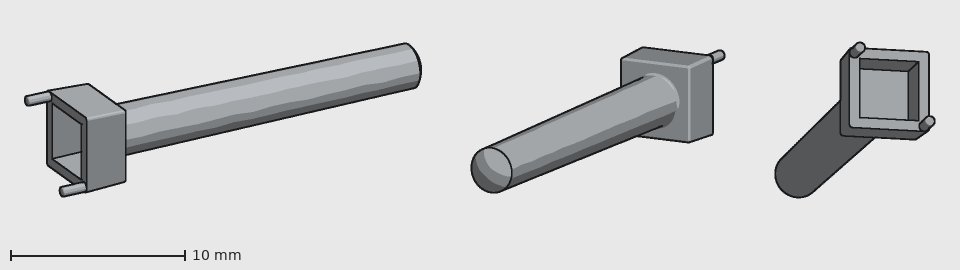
import cadquery as cq
import math

total_length = 24.5
pin_length = 1.5
socket_depth = 2.7
socket_back = pin_length + socket_depth

socket_width = 4.7
socket_back_width = 4.53
edge_radius = 0.17
pocket_width = 3.48
pocket_floor_width = 3.33
pocket_depth = 2.25

rod_base_radius = 1.507
rod_end_radius = 1.32
dome_height = 0.55
root_radius = 0.17

pin_diameter = 0.6
pin_tip_radius = 0.1
pin_offset = (socket_width - pin_diameter) / 2


def plane_at(y):
    """Sketch plane facing +Y, with local Y along +Z."""
    return cq.Plane(origin=(0, y, 0), xDir=(-1, 0, 0), normal=(0, 1, 0))


def tapered_square(start_y, depth, start_width, end_width):
    """Square prism along +Y with flat drafted sides."""
    draft = math.degrees(math.atan((start_width - end_width) / (2 * depth)))
    return cq.Workplane(plane_at(start_y)).rect(start_width, start_width).extrude(depth, taper=draft)


def make_socket():
    block = tapered_square(pin_length, socket_depth, socket_width, socket_back_width)
    return block.edges("not(<Y)").fillet(edge_radius)


def make_rod():
    dome_start = total_length - dome_height
    dome_radius = (rod_end_radius**2 + dome_height**2) / (2 * dome_height)
    mid_radius = rod_end_radius / 2
    mid_y = total_length - dome_radius + math.sqrt(dome_radius**2 - mid_radius**2)
    root_mid = root_radius * (1 - math.sqrt(0.5))
    return (
        cq.Workplane("XY")
        .moveTo(0, socket_back - root_radius)
        .lineTo(rod_base_radius + root_radius, socket_back - root_radius)
        .lineTo(rod_base_radius + root_radius, socket_back)
        .threePointArc(
            (rod_base_radius + root_mid, socket_back + root_mid),
            (rod_base_radius, socket_back + root_radius),
        )
        .lineTo(rod_end_radius, dome_start)
        .threePointArc((mid_radius, mid_y), (0, total_length))
        .close()
        .revolve(360, (0, 0, 0), (0, 1, 0))
    )


def make_pin(x, z):
    return (
        cq.Workplane(plane_at(0))
        .center(-x, z)
        .circle(pin_diameter / 2)
        .extrude(pin_length)
        .faces("<Y")
        .edges()
        .fillet(pin_tip_radius)
    )


pocket = tapered_square(pin_length, pocket_depth, pocket_width, pocket_floor_width)
result = make_socket().union(make_rod()).cut(pocket)

for side in (-1, 1):
    result = result.union(make_pin(side * pin_offset, -side * pin_offset))